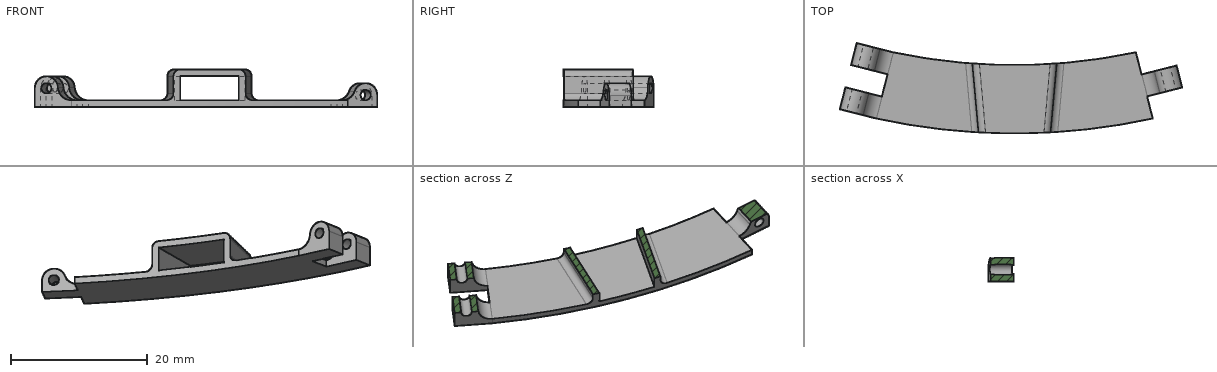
import cadquery as cq
import math

outer_radius = 95.1
band_width = 10.0
inner_radius = outer_radius - band_width
plate_thickness = 1.0
end_half_width = 20.2
end_tilt = 14.3
corner_y = outer_radius - math.sqrt(outer_radius**2 - end_half_width**2)

sleeve_height = 5.5
sleeve_front_half_width = 5.25
sleeve_taper = 5.1
sleeve_wall = 1.0
sleeve_fillet = 1.0

knuckle_width = band_width / 3
knuckle_radius = 1.75
pin_diameter = 1.5
left_pin_height = 2.75
right_pin_height = 1.75
knuckle_blend = 2.0

blank_half_length = 2 * end_half_width
blank_back = 2 * band_width
blank_front = -band_width / 2


def tapered_block(half_width, taper, bottom, top):
    """Block with slanted sides; half_width applies at Y = 0 and a positive taper widens it toward +Y."""
    slope = math.tan(math.radians(taper))
    front = half_width + blank_front * slope
    back = half_width + blank_back * slope
    outline = [(-front, blank_front), (front, blank_front), (back, blank_back), (-back, blank_back)]
    return cq.Workplane("XY").workplane(offset=bottom).polyline(outline).close().extrude(top - bottom)


def plate_outline():
    """Curved band with tilted ends, as tall as the sleeve."""
    band = (
        cq.Workplane("XY")
        .center(0, outer_radius)
        .circle(outer_radius)
        .circle(inner_radius)
        .extrude(sleeve_height)
    )
    half_width = end_half_width + corner_y * math.tan(math.radians(end_tilt))
    return band.intersect(tapered_block(half_width, -end_tilt, 0, sleeve_height))


def plate_with_sleeve():
    slab = cq.Workplane("XY").box(
        2 * blank_half_length, blank_back - blank_front, plate_thickness, centered=(True, False, False)
    ).translate((0, blank_front, 0))
    sleeve = tapered_block(sleeve_front_half_width, sleeve_taper, plate_thickness, sleeve_height)
    blank = slab.union(sleeve).edges("not (|X or |Y or |Z)").fillet(sleeve_fillet)
    opening = tapered_block(
        sleeve_front_half_width - sleeve_wall,
        sleeve_taper,
        plate_thickness,
        sleeve_height - sleeve_wall,
    )
    return blank.cut(opening).intersect(plate_outline())


def knuckle(side, pin_height, place):
    """Knuckle on the left (side = -1) or right (side = 1) end, counting thirds of the band
    from the outer arc: place 0, 1 or 2.
    """
    blend_height = plate_thickness + knuckle_blend
    reach = knuckle_radius + knuckle_blend
    pin_to_end = math.sqrt(reach**2 - (blend_height - pin_height) ** 2)
    tip = pin_to_end + knuckle_radius
    share = knuckle_radius / reach
    tangent = (pin_to_end * (1 - share), pin_height + (blend_height - pin_height) * share)
    blend_turn = (math.atan2(tangent[1] - blend_height, tangent[0]) - math.pi / 2) / 2
    blend_middle = (
        knuckle_blend * math.cos(blend_turn),
        blend_height + knuckle_blend * math.sin(blend_turn),
    )
    body = (
        cq.Workplane("XZ")
        .lineTo(tip, 0)
        .lineTo(tip, pin_height)
        .threePointArc((pin_to_end, pin_height + knuckle_radius), tangent)
        .threePointArc(blend_middle, (0, plate_thickness))
        .close()
        .extrude(knuckle_width)
    )
    pin_hole = (
        cq.Workplane("XZ").center(pin_to_end, pin_height).circle(pin_diameter / 2).extrude(knuckle_width)
    )
    body = body.cut(pin_hole).translate((0, (place + 1) * knuckle_width, 0))
    body = body.rotate((0, 0, 0), (0, 0, 1), end_tilt).translate((end_half_width, corner_y, 0))
    return body.mirror("YZ") if side < 0 else body


result = plate_with_sleeve()
for place in (0, 2):
    result = result.union(knuckle(-1, left_pin_height, place))
result = result.union(knuckle(1, right_pin_height, 1))